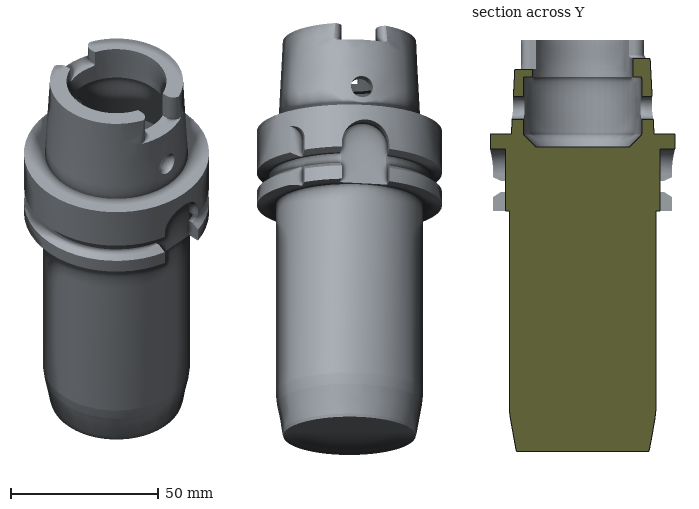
import cadquery as cq
import math

total_height = 139.9
flange_bottom = 81.8
flange_top = 108.1
nose_blend_top = 15.0
nose_cone_top = 11.0
nose_chamfer_height = 1.0

body_radius = 50.1 / 2
flange_radius = 63.0 / 2
groove_radius = 27.4
taper_base_radius = 24.3
taper_top_radius = 22.7
nose_radius = 22.8
nose_chamfer = 0.3

groove_lower_rim = 86.6
groove_bottom = 88.3
groove_top = 92.0
groove_upper_rim = 93.3
groove_lip_radius = 29.0

bore_radius = 34.0 / 2
undercut_radius = 40.0 / 2
bore_floor_radius = 31.8 / 2
mouth_depth = 12.6
undercut_depth = 32.0

cross_hole_diameter = 7.5
cross_hole_height = 117.0

drive_slot_width = 12.2
shallow_slot_depth = 6.0
deep_slot_depth = 9.8
lug_round_radius = 3.2
lug_tip_x = 21.0
shallow_slot_floor_fillet = 1.0

keyway_width = 16.4
keyway_floor_x = 26.3
keyway_top = 103.0

notch_width = 10.0
notch_floor_x = 20.1
notch_inner_wall_y = 20.0
notch_top = 102.7

overcut = 14.0


def make_outer_body():
    half_angle = math.atan2(body_radius - nose_radius, nose_cone_top - nose_chamfer_height) / 2
    blend_drop = (nose_blend_top - nose_cone_top) * math.tan(half_angle)
    return (
        cq.Workplane("XZ")
        .moveTo(0, 0)
        .lineTo(nose_radius - nose_chamfer, 0)
        .lineTo(nose_radius, nose_chamfer_height)
        .lineTo(body_radius - blend_drop, nose_cone_top)
        .tangentArcPoint((body_radius, nose_blend_top), relative=False)
        .lineTo(body_radius, flange_bottom)
        .lineTo(flange_radius, flange_bottom)
        .lineTo(flange_radius, groove_lower_rim)
        .lineTo(groove_lip_radius, groove_bottom)
        .lineTo(groove_radius, groove_bottom)
        .lineTo(groove_radius, groove_top)
        .lineTo(groove_lip_radius, groove_top)
        .lineTo(flange_radius, groove_upper_rim)
        .lineTo(flange_radius, flange_top)
        .lineTo(taper_base_radius, flange_top)
        .lineTo(taper_top_radius, total_height)
        .lineTo(0, total_height)
        .close()
        .revolve(360, (0, 0, 0), (0, 1, 0))
    )


def make_bore():
    shoulder = total_height - mouth_depth
    undercut_floor = total_height - undercut_depth
    bore_floor = undercut_floor - (undercut_radius - bore_floor_radius)
    profile = [
        (0, bore_floor),
        (bore_floor_radius, bore_floor),
        (undercut_radius, undercut_floor),
        (undercut_radius, shoulder),
        (bore_radius, shoulder),
        (bore_radius, total_height),
        (0, total_height),
    ]
    return cq.Workplane("XZ").polyline(profile).close().revolve(360, (0, 0, 0), (0, 1, 0))


def make_drive_slot(depth):
    """Slot on the +X side, flaring outward around the rounded lug ends."""
    half_width = drive_slot_width / 2
    round_x = lug_tip_x - lug_round_radius
    round_y = half_width + lug_round_radius
    diagonal = lug_round_radius * math.sqrt(0.5)
    arc_mid = (round_x + diagonal, round_y - diagonal)
    arc_end = (round_x + diagonal, round_y + diagonal)
    outer_x = flange_radius
    return (
        cq.Workplane("XY", origin=(0, 0, total_height - depth))
        .moveTo(0, -half_width)
        .lineTo(round_x, -half_width)
        .threePointArc((arc_mid[0], -arc_mid[1]), (arc_end[0], -arc_end[1]))
        .lineTo(outer_x, -arc_end[1])
        .lineTo(outer_x, arc_end[1])
        .lineTo(*arc_end)
        .threePointArc(arc_mid, (round_x, half_width))
        .lineTo(0, half_width)
        .close()
        .extrude(depth + overcut)
    )


def make_round_topped_slot(width, floor_x, top):
    """Slot facing +X with an arched top, open at the flange bottom."""
    half_width = width / 2
    return (
        cq.Workplane("YZ", origin=(floor_x, 0, 0))
        .moveTo(-half_width, flange_bottom)
        .lineTo(half_width, flange_bottom)
        .lineTo(half_width, top - half_width)
        .threePointArc((0, top), (-half_width, top - half_width))
        .close()
        .extrude(overcut)
    )


def turned_to_minus_x(tool):
    return tool.rotate((0, 0, 0), (0, 0, 1), 180)


cross_hole = (
    cq.Workplane("YZ", origin=(0, 0, cross_hole_height))
    .circle(cross_hole_diameter / 2)
    .extrude(flange_radius, both=True)
)
deep_slot = make_drive_slot(deep_slot_depth)
shallow_slot = make_drive_slot(shallow_slot_depth)
shallow_slot = shallow_slot.faces("<Z").edges().fillet(shallow_slot_floor_fillet)
keyway = make_round_topped_slot(keyway_width, keyway_floor_x, keyway_top)
notch = turned_to_minus_x(make_round_topped_slot(notch_width, notch_floor_x, notch_top))
notch = notch.translate((0, notch_inner_wall_y + notch_width / 2, 0))

result = (
    make_outer_body()
    .cut(make_bore())
    .cut(cross_hole)
    .cut(deep_slot)
    .cut(turned_to_minus_x(shallow_slot))
    .cut(keyway)
    .cut(turned_to_minus_x(keyway))
    .cut(notch)
)